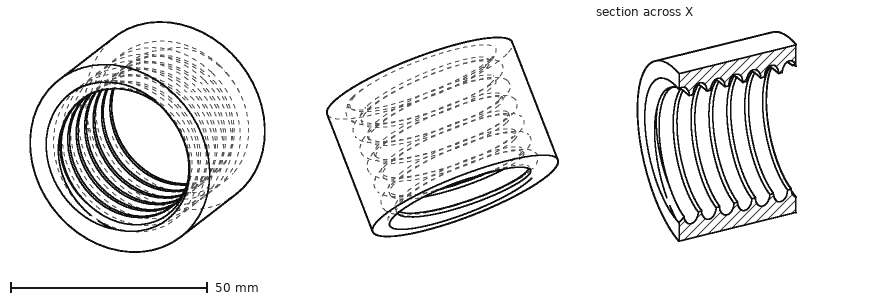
import cadquery as cq

outer_diameter = 50.5
length = 32.8
bore_diameter = 35.55

pitch = 5.0
crest_width = 1.05
root_radius = 20.75
start_angle = 155.0

mouth_radius = 19.65

overrun_turns = 3
seam_angle = 37.0

bore_radius = bore_diameter / 2
lead_in = mouth_radius - bore_radius
groove_half_width = (pitch - crest_width) / 2
groove_depth = root_radius - bore_radius


def make_tube():
    """Plain tube standing on Z = 0 with its mouth at the top."""
    tube = (
        cq.Workplane("XY")
        .circle(outer_diameter / 2)
        .circle(bore_radius)
        .extrude(length)
    )
    return tube.rotate((0, 0, 0), (0, 0, 1), seam_angle)


def make_lead_in_cutter():
    """Cone that widens from the bore to the mouth at the top face."""
    cone = cq.Solid.makeCone(bore_radius, mouth_radius, lead_in)
    return (
        cq.Workplane(cone)
        .translate((0, 0, length - lead_in))
        .rotate((0, 0, 0), (0, 0, 1), seam_angle)
    )


def make_thread_cutter():
    """Helical elliptical bar centred on the bore wall, overrunning both ends of the tube."""
    turns = int(length / pitch) + overrun_turns
    helix_height = turns * pitch
    helix = cq.Wire.makeHelix(pitch, helix_height, bore_radius)
    profile = (
        cq.Workplane("XZ")
        .center(bore_radius, 0)
        .ellipse(groove_depth, groove_half_width)
    )
    cutter = profile.sweep(cq.Workplane(helix), isFrenet=True)
    return cutter.rotate((0, 0, 0), (0, 0, 1), start_angle).translate(
        (0, 0, length - helix_height + pitch)
    )


threaded_sleeve = make_tube().cut(make_thread_cutter()).cut(make_lead_in_cutter())

result = threaded_sleeve.rotate((0, 0, 0), (1, 0, 0), 90).translate((0, length / 2, 0))